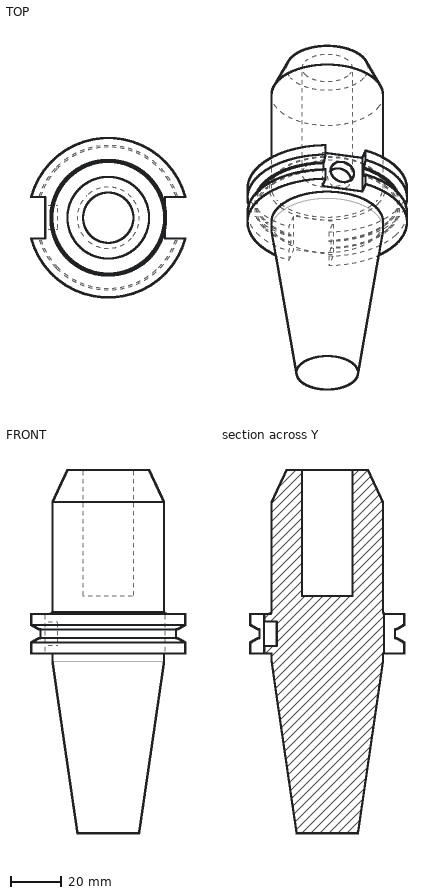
import cadquery as cq


gauge_diameter = 44.45
taper_length = 68.25
taper_ratio = 7 / 24
taper_end_diameter = gauge_diameter - taper_ratio * taper_length

flange_diameter = 63.5
flange_bottom = 3.175
flange_thickness = 15.875
flange_top = flange_bottom + flange_thickness
flange_middle = flange_bottom + flange_thickness / 2
groove_opening = 7.0
groove_side_height = 1.75
groove_floor_width = groove_opening - 2 * groove_side_height
groove_side_diameter = 57.6
groove_floor_diameter = 56.3

body_diameter = 44.45
holder_top = 76.2
nose_length = 12.8
nose_diameter = 32.5
body_fillet = 0.8

bore_diameter = 20.0
bore_depth = 50.0

slot_width = 16.38
near_slot_distance = 25.1
far_slot_distance = 22.61
slot_hole_diameter = 9.525
slot_hole_depth = 5.0


def turn(profile):
    """Revolve a closed radius-height profile a full turn about the Z axis."""
    return profile.revolve(360, (0, 0, 0), (0, 1, 0))


def make_holder():
    """Shank, flange blank, body and nose as one turned solid."""
    body_radius = body_diameter / 2
    flange_radius = flange_diameter / 2
    nose_base = holder_top - nose_length
    profile = (
        cq.Workplane("XZ")
        .moveTo(0, -taper_length)
        .lineTo(taper_end_diameter / 2, -taper_length)
        .lineTo(gauge_diameter / 2, 0)
        .lineTo(gauge_diameter / 2, flange_bottom)
        .lineTo(flange_radius, flange_bottom)
        .lineTo(flange_radius, flange_top)
        .lineTo(body_radius + body_fillet, flange_top)
        .radiusArc((body_radius, flange_top + body_fillet), body_fillet)
        .lineTo(body_radius, nose_base)
        .lineTo(nose_diameter / 2, holder_top)
        .lineTo(0, holder_top)
        .close()
    )
    return turn(profile)


def make_groove():
    """Ring that cuts the V groove, with a square relief along its floor."""
    outer = flange_diameter / 2
    side = groove_side_diameter / 2
    floor = groove_floor_diameter / 2
    half_opening = groove_opening / 2
    half_floor = groove_floor_width / 2
    points = [
        (outer, flange_middle - half_opening),
        (side, flange_middle - half_floor),
        (floor, flange_middle - half_floor),
        (floor, flange_middle + half_floor),
        (side, flange_middle + half_floor),
        (outer, flange_middle + half_opening),
    ]
    return turn(cq.Workplane("XZ").polyline(points).close())


def make_slot(side, floor_distance):
    """Drive slot through the flange; side is -1 for -X and +1 for +X."""
    slot_depth = flange_diameter / 2 - floor_distance
    return (
        cq.Workplane("XY", origin=(0, 0, flange_bottom))
        .center(side * (floor_distance + slot_depth / 2), 0)
        .rect(slot_depth, slot_width)
        .extrude(flange_thickness)
    )


def make_bore():
    """Blind tool bore, open at the nose."""
    return cq.Workplane("XY", origin=(0, 0, holder_top)).circle(bore_diameter / 2).extrude(-bore_depth)


def make_slot_hole():
    """Blind radial hole in the floor of the -X slot."""
    return (
        cq.Workplane("YZ", origin=(-near_slot_distance, 0, flange_middle))
        .circle(slot_hole_diameter / 2)
        .extrude(slot_hole_depth)
    )


result = (
    make_holder()
    .cut(make_groove())
    .cut(make_slot(-1, near_slot_distance))
    .cut(make_slot(1, far_slot_distance))
    .cut(make_bore())
    .cut(make_slot_hole())
)